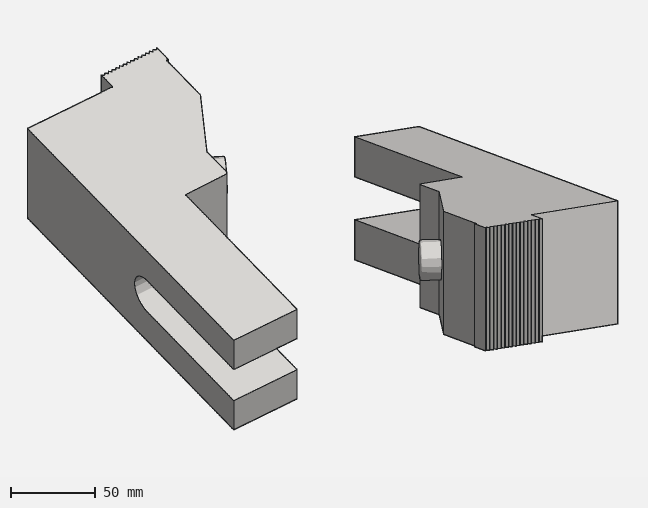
import cadquery as cq
import math

length = 226.5
width = 75.0
body_height = 100.0

jaw_thickness = 12.0
jaw_height = 40.0
jaw_overhang = 1.2
tooth_count = 15
tooth_pitch = jaw_height / tooth_count
tooth_depth = tooth_pitch / 2
jaw_top = body_height + jaw_overhang
jaw_bottom = jaw_top - jaw_height

slope_angle = 30.0
slope_start_x = 47.2
shoulder_height = 76.3
slope_run = (body_height - shoulder_height) / math.tan(math.radians(slope_angle))
slope_end_x = slope_start_x + slope_run
shoulder_end_x = 110.0
end_wall_draft = 1.0
shoulder_radius = 1.5
foot_height = 45.5
end_wall_height = shoulder_height - foot_height
end_wall_foot_x = shoulder_end_x + end_wall_height * math.tan(math.radians(end_wall_draft))

slot_width = 26.0
slot_end_x = 123.5

screw_diameter = 24.0
screw_height = 12.4
screw_edge_radius = 1.0
screw_along_slope = 31.6


def make_body():
    profile = [
        (jaw_thickness, 0),
        (length, 0),
        (length, foot_height),
        (end_wall_foot_x, foot_height),
        (shoulder_end_x, shoulder_height),
        (slope_end_x, shoulder_height),
        (slope_start_x, body_height),
        (jaw_thickness, body_height),
    ]
    body = cq.Workplane("XY").polyline(profile).close().extrude(width)
    shoulder_edge = cq.selectors.NearestToPointSelector((shoulder_end_x, shoulder_height, width / 2))
    return body.edges(shoulder_edge).fillet(shoulder_radius)


def make_jaw():
    profile = [(jaw_thickness, jaw_bottom), (jaw_thickness, jaw_top), (0, jaw_top)]
    for tooth in range(tooth_count):
        tip_y = jaw_top - tooth * tooth_pitch
        profile.append((tooth_depth, tip_y - tooth_pitch / 2))
        profile.append((0, tip_y - tooth_pitch))
    return cq.Workplane("XY").polyline(profile).close().extrude(width)


def make_slot():
    radius = slot_width / 2
    center_x = slot_end_x + radius
    center_z = width / 2
    return (
        cq.Workplane("XZ")
        .moveTo(length, center_z - radius)
        .lineTo(center_x, center_z - radius)
        .threePointArc((slot_end_x, center_z), (center_x, center_z + radius))
        .lineTo(length, center_z + radius)
        .close()
        .extrude(-foot_height)
    )


def make_screw_head():
    angle = math.radians(slope_angle)
    base = (
        slope_start_x + screw_along_slope * math.cos(angle),
        body_height - screw_along_slope * math.sin(angle),
        width / 2,
    )
    slope_plane = cq.Plane(origin=base, xDir=(0, 0, 1), normal=(math.sin(angle), math.cos(angle), 0))
    return (
        cq.Workplane(slope_plane)
        .circle(screw_diameter / 2)
        .extrude(screw_height)
        .faces(cq.selectors.DirectionMinMaxSelector(slope_plane.zDir, True))
        .edges()
        .fillet(screw_edge_radius)
    )


result = make_body().union(make_jaw()).cut(make_slot()).union(make_screw_head())